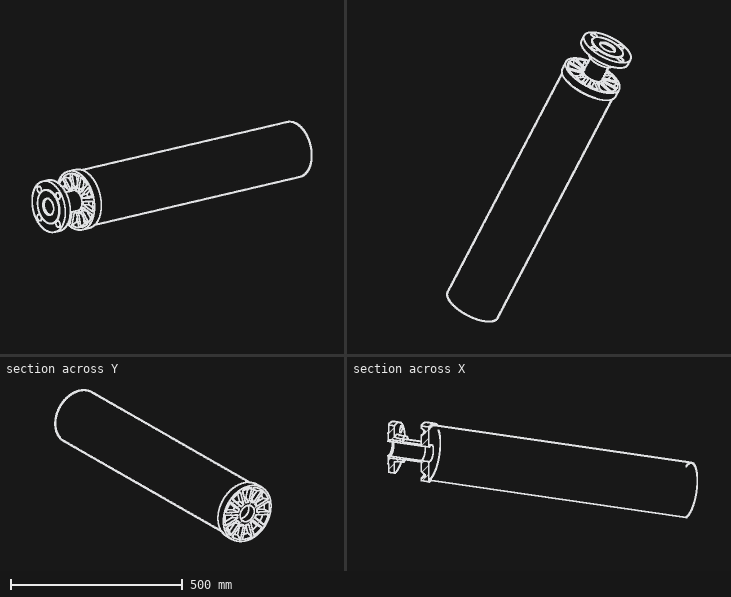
import cadquery as cq
import math


total_length = 927.1
bore_diameter = 49.25

raised_face_diameter = 98.4
raised_face_base_diameter = 101.2
raised_face_height = 1.6
flange_diameter = 152.4
flange_thickness = 19.05
bolt_circle_diameter = 120.65
bolt_hole_diameter = 19.05
bolt_hole_count = 4
hub_diameter = 77.7
hub_root_diameter = 83.0
hub_taper_length = 9.0
hub_length = 25.4

pipe_diameter = 60.33
exposed_pipe_length = 56.6
socket_floor = 5.0

cap_diameter = 175.41
cap_length = 25.4
pocket_count = 12
pocket_outer_diameter = 160.53
pocket_inner_diameter = 72.0
pocket_depth = 12.7
pocket_end_slope = 36.0
rib_thickness = 9.5
rib_draft = 12.0

tube_outer_diameter = 165.1
tube_inner_diameter = 160.53

flange_front = raised_face_height
flange_back = flange_front + flange_thickness
hub_back = flange_back + hub_length
cap_front = hub_back + exposed_pipe_length
cap_back = cap_front + cap_length


def cylinder(diameter, y_start, y_end):
    """Solid cylinder on the Y axis between two stations."""
    plane = cq.Workplane("XZ", origin=(0, y_start, 0))
    return plane.circle(diameter / 2).extrude(y_start - y_end)


def cone(start_diameter, end_diameter, y_start, y_end):
    """Solid truncated cone on the Y axis between two stations."""
    profile = [
        (0, y_start),
        (start_diameter / 2, y_start),
        (end_diameter / 2, y_end),
        (0, y_end),
    ]
    return cq.Workplane("XY").polyline(profile).close().revolve(360, (0, 0), (0, 1))


def make_flange():
    """Flange with raised face, tapered hub root and bolt holes astride the axes."""
    taper_end = flange_back + hub_taper_length
    flange = (
        cone(raised_face_diameter, raised_face_base_diameter, 0, flange_front)
        .union(cylinder(flange_diameter, flange_front, flange_back))
        .union(cone(hub_root_diameter, hub_diameter, flange_back, taper_end))
        .union(cylinder(hub_diameter, taper_end, hub_back))
        .cut(cylinder(bore_diameter, 0, socket_floor))
        .cut(cylinder(pipe_diameter, socket_floor, hub_back))
    )
    bolt_holes = (
        cq.Workplane("XZ")
        .polarArray(bolt_circle_diameter / 2, 180 / bolt_hole_count, 360, bolt_hole_count)
        .circle(bolt_hole_diameter / 2)
        .extrude(-flange_back)
    )
    return flange.cut(bolt_holes)


def make_pipe():
    """Plain pipe from the floor of the flange socket to the end cap."""
    outside = cylinder(pipe_diameter, socket_floor, cap_front)
    return outside.cut(cylinder(bore_diameter, socket_floor, cap_front))


def make_rib():
    """Drafted rib across the whole cap, thin at the front face and thicker at the pocket floor."""
    front_half = rib_thickness / 2
    floor_half = front_half + pocket_depth * math.tan(math.radians(rib_draft))
    floor_y = cap_front + pocket_depth
    section = [
        (front_half, cap_front),
        (floor_half, floor_y),
        (-floor_half, floor_y),
        (-front_half, cap_front),
    ]
    return cq.Workplane("XY").polyline(section).close().extrude(cap_diameter / 2, both=True)


def make_pockets():
    """Annular groove with sloping walls, divided into pockets by the ribs."""
    inset = pocket_depth * math.tan(math.radians(pocket_end_slope))
    floor_y = cap_front + pocket_depth
    section = [
        (pocket_inner_diameter / 2, cap_front),
        (pocket_outer_diameter / 2, cap_front),
        (pocket_outer_diameter / 2 - inset, floor_y),
        (pocket_inner_diameter / 2 + inset, floor_y),
    ]
    pockets = cq.Workplane("XY").polyline(section).close().revolve(360, (0, 0), (0, 1))
    rib = make_rib()
    rib_pitch = 360 / pocket_count
    for i in range(pocket_count // 2):
        pockets = pockets.cut(rib.rotate((0, 0, 0), (0, 1, 0), (i + 0.5) * rib_pitch))
    return pockets


def make_cap():
    """End cap whose front face has a ring of pockets separated by radial ribs."""
    cap = cylinder(cap_diameter, cap_front, cap_back)
    bore = cylinder(bore_diameter, cap_front, cap_back)
    return cap.cut(bore).cut(make_pockets())


def make_tube():
    """Long thin-walled tube behind the end cap, open at the far end."""
    outside = cylinder(tube_outer_diameter, cap_back, total_length)
    return outside.cut(cylinder(tube_inner_diameter, cap_back, total_length))


flange = make_flange()
pipe = make_pipe()
cap = make_cap()
tube = make_tube()

result = cq.Compound.makeCompound([flange.val(), pipe.val(), cap.val(), tube.val()])